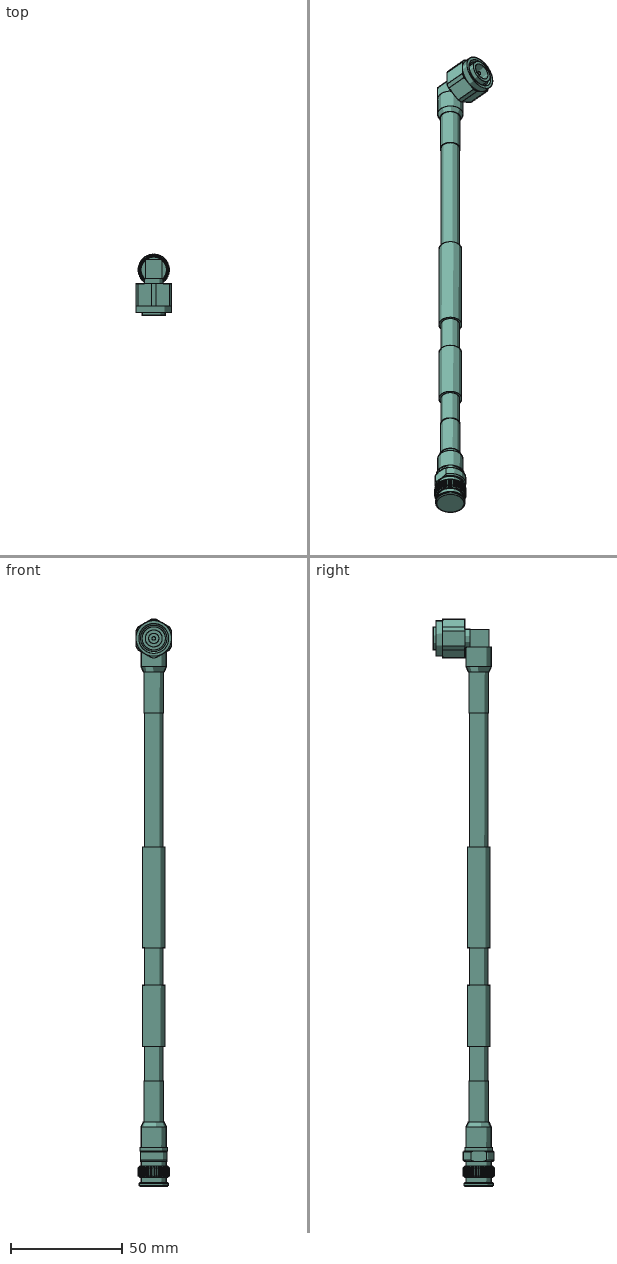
import cadquery as cq
import math


total_height = 254.6
mating_tip_y = -20.4

cable_diameter = 8.4
boot_diameter = 8.9
boot_length = 18.4
sleeve_diameter = 10.2
lower_sleeve_bottom = 62.7
lower_sleeve_length = 27.6
upper_sleeve_bottom = 107.1
upper_sleeve_length = 45.3

body_diameter = 11.4
body_shoulder_height = 2.3
shoulder_end_diameter = 9.3

flange_diameter = 13.2
flange_height = 1.8
flange_chamfer = 0.5
ring_diameter = 14.0
ring_bottom = 4.0
ring_height = 5.1
ring_chamfer = 0.8
ring_groove_count = 36
ring_groove_width = 0.5
ring_groove_depth = 0.4
wrench_diameter = 13.9
wrench_across_flats = 12.0
wrench_bottom = 11.2
wrench_height = 4.8
wrench_chamfer = 0.6
collar_diameter = 12.4
collar_height = 1.5
straight_body_top = 29.0

elbow_body_bottom = 230.9
elbow_body_top = 242.1
block_width = 7.2
block_front_y = -4.0
block_back_y = 4.7
block_top = 249.9
neck_diameter = 8.4

nut_across_flats = 16.0
nut_corner_diameter = 17.4
nut_rear_y = -6.2
nut_hex_length = 10.0
nut_collar_length = 3.0
nut_bore_diameter = 11.8
nut_bore_depth = 11.0
nut_bore_chamfer = 0.8
barrel_diameter = 10.4
barrel_bore_diameter = 7.6
barrel_bore_depth = 8.0
insulator_diameter = 4.6
insulator_length = 4.0
pin_diameter = 1.6
pin_length = 6.5

nut_axis_z = total_height - nut_corner_diameter / 2
nut_collar_y = nut_rear_y - nut_hex_length
nut_front_y = nut_collar_y - nut_collar_length
nut_bore_floor_y = nut_front_y + nut_bore_depth
barrel_floor_y = mating_tip_y + barrel_bore_depth
lower_boot_top = straight_body_top + boot_length
upper_boot_bottom = elbow_body_bottom - boot_length


def rod(diameter, bottom, top):
    """Cylinder on the Z axis between two heights."""
    return cq.Workplane("XY").workplane(offset=bottom).circle(diameter / 2).extrude(top - bottom)


def forward_rod(diameter, rear_y, front_y):
    """Cylinder on the nut axis, running from rear_y toward -Y."""
    plane = cq.Workplane("XZ", origin=(0, rear_y, nut_axis_z))
    return plane.circle(diameter / 2).extrude(rear_y - front_y)


def shoulder(body_end, boot_end):
    """Cone that narrows from the connector body toward its boot."""
    profile = [
        (0, body_end),
        (body_diameter / 2, body_end),
        (shoulder_end_diameter / 2, boot_end),
        (0, boot_end),
    ]
    return cq.Workplane("XZ").polyline(profile).close().revolve(360, (0, 0, 0), (0, 1, 0))


def make_cable():
    return rod(cable_diameter, lower_boot_top, upper_boot_bottom)


def make_sleeve(bottom, length):
    outer = rod(sleeve_diameter, bottom, bottom + length)
    return outer.cut(rod(cable_diameter, bottom, bottom + length))


def make_knurled_ring():
    ring = rod(ring_diameter, ring_bottom, ring_bottom + ring_height)
    ring = ring.faces("<Z or >Z").chamfer(ring_chamfer)
    grooves = (
        cq.Workplane("XY")
        .workplane(offset=ring_bottom)
        .polarArray(ring_diameter / 2, 0, 360, ring_groove_count)
        .rect(2 * ring_groove_depth, ring_groove_width)
        .extrude(ring_height)
    )
    return ring.cut(grooves)


def make_wrench_ring():
    """Chamfered ring with two wrench flats facing +X and -X."""
    ring = rod(wrench_diameter, wrench_bottom, wrench_bottom + wrench_height)
    ring = ring.faces("<Z or >Z").chamfer(wrench_chamfer)
    between_flats = (
        cq.Workplane("XY")
        .workplane(offset=wrench_bottom)
        .rect(wrench_across_flats, wrench_diameter)
        .extrude(wrench_height)
    )
    return ring.intersect(between_flats)


def make_straight_connector():
    shoulder_start = straight_body_top - body_shoulder_height
    collar_bottom = wrench_bottom + wrench_height
    collar_top = collar_bottom + collar_height
    body = rod(body_diameter, 0, shoulder_start)
    flange = rod(flange_diameter, 0, flange_height).faces("<Z or >Z").chamfer(flange_chamfer)
    body = body.union(flange)
    body = body.union(make_knurled_ring())
    body = body.union(make_wrench_ring())
    body = body.union(rod(collar_diameter, collar_bottom, collar_top))
    body = body.union(shoulder(shoulder_start, straight_body_top))
    return body.union(rod(boot_diameter, straight_body_top, lower_boot_top))


def make_coupling_nut():
    hexagon = (
        cq.Workplane("XZ", origin=(0, nut_rear_y, nut_axis_z))
        .transformed(rotate=(0, 0, 90))
        .polygon(6, nut_across_flats / math.cos(math.pi / 6))
        .extrude(nut_hex_length)
    )
    hexagon = hexagon.intersect(forward_rod(nut_corner_diameter, nut_rear_y, nut_collar_y))
    nut = hexagon.union(forward_rod(nut_across_flats, nut_collar_y, nut_front_y))
    nut = nut.cut(forward_rod(nut_bore_diameter, nut_bore_floor_y, nut_front_y))
    rim = cq.selectors.RadiusNthSelector(0)
    return nut.faces("<Y").edges(rim).chamfer(nut_bore_chamfer)


def make_mating_end():
    barrel = forward_rod(barrel_diameter, nut_bore_floor_y, mating_tip_y)
    barrel = barrel.cut(forward_rod(barrel_bore_diameter, barrel_floor_y, mating_tip_y))
    barrel = barrel.union(
        forward_rod(insulator_diameter, barrel_floor_y, barrel_floor_y - insulator_length)
    )
    return barrel.union(forward_rod(pin_diameter, barrel_floor_y, barrel_floor_y - pin_length))


def make_elbow_connector():
    shoulder_start = elbow_body_bottom + body_shoulder_height
    block_depth = block_back_y - block_front_y
    block = (
        cq.Workplane("XY")
        .workplane(offset=elbow_body_top)
        .center(0, (block_back_y + block_front_y) / 2)
        .rect(block_width, block_depth)
        .extrude(block_top - elbow_body_top)
    )
    elbow = rod(body_diameter, shoulder_start, elbow_body_top)
    elbow = elbow.union(shoulder(shoulder_start, elbow_body_bottom))
    elbow = elbow.union(rod(boot_diameter, upper_boot_bottom, elbow_body_bottom))
    elbow = elbow.union(block)
    elbow = elbow.union(forward_rod(neck_diameter, block_front_y, nut_rear_y))
    return elbow.union(make_coupling_nut()).union(make_mating_end())


cable = make_cable()
straight_connector = make_straight_connector()
elbow_connector = make_elbow_connector()
sleeve_spans = [
    (lower_sleeve_bottom, lower_sleeve_length),
    (upper_sleeve_bottom, upper_sleeve_length),
]
sleeves = [make_sleeve(bottom, length) for bottom, length in sleeve_spans]

result = cq.Compound.makeCompound(
    [cable.val(), straight_connector.val(), elbow_connector.val()]
    + [sleeve.val() for sleeve in sleeves]
)